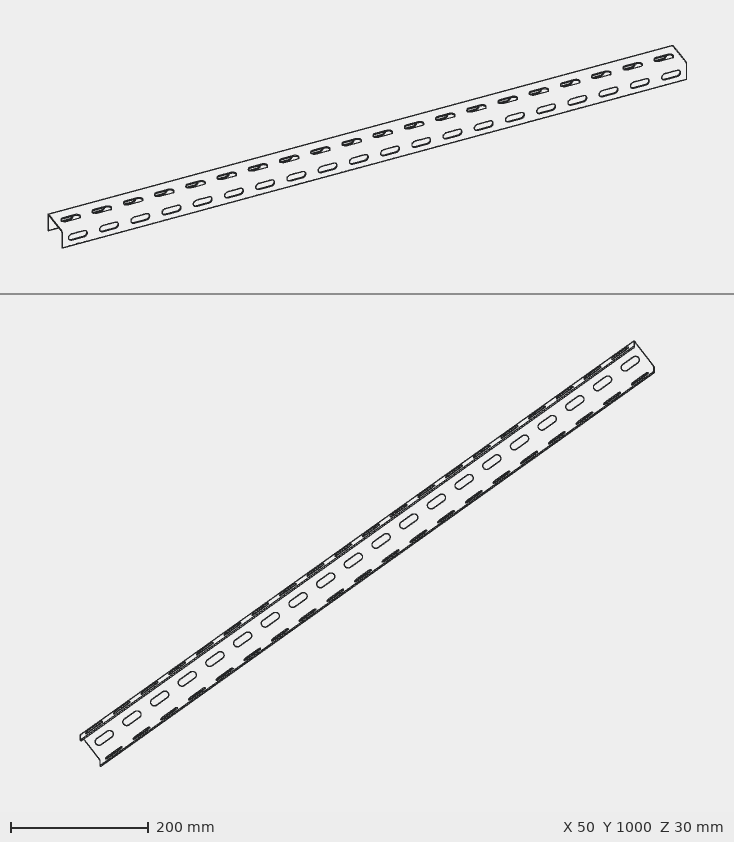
import cadquery as cq

LENGTH = 1000.0
WIDTH = 50.0
HEIGHT = 30.0

THICKNESS = 2.0
INNER_BEND_RADIUS = 1.5
OUTER_BEND_RADIUS = INNER_BEND_RADIUS + THICKNESS

SLOT_COUNT = 20
SLOT_PITCH = LENGTH / SLOT_COUNT
SLOT_LENGTH = 30.0
SLOT_WIDTH = 11.0
SIDE_SLOT_HEIGHT = HEIGHT / 2


def round_topped_bar(width, height, radius):
    """Full-length bar standing on Z = 0 with its two top edges rounded."""
    bar = cq.Workplane("XY").box(width, LENGTH, height, centered=(True, True, False))
    return bar.edges("|Y and >Z").fillet(radius)


def channel():
    """Folded sheet channel running along Y and open at the bottom."""
    outside = round_topped_bar(WIDTH, HEIGHT, OUTER_BEND_RADIUS)
    inside = round_topped_bar(WIDTH - 2 * THICKNESS, HEIGHT - THICKNESS, INNER_BEND_RADIUS)
    return outside.cut(inside)


def top_slot_cutters():
    """Row of slots through the top wall; they start at mid height, inside the channel."""
    plane = cq.Workplane("XY", origin=(0, 0, HEIGHT / 2))
    row = plane.rarray(10, SLOT_PITCH, 1, SLOT_COUNT)
    return row.slot2D(SLOT_LENGTH, SLOT_WIDTH, angle=90).extrude(HEIGHT)


def side_slot_cutters():
    """Row of slots running across the channel through both side walls."""
    plane = cq.Workplane("YZ", origin=(0, 0, SIDE_SLOT_HEIGHT))
    row = plane.rarray(SLOT_PITCH, 10, SLOT_COUNT, 1)
    return row.slot2D(SLOT_LENGTH, SLOT_WIDTH).extrude(WIDTH, both=True)


result = channel().cut(top_slot_cutters()).cut(side_slot_cutters())